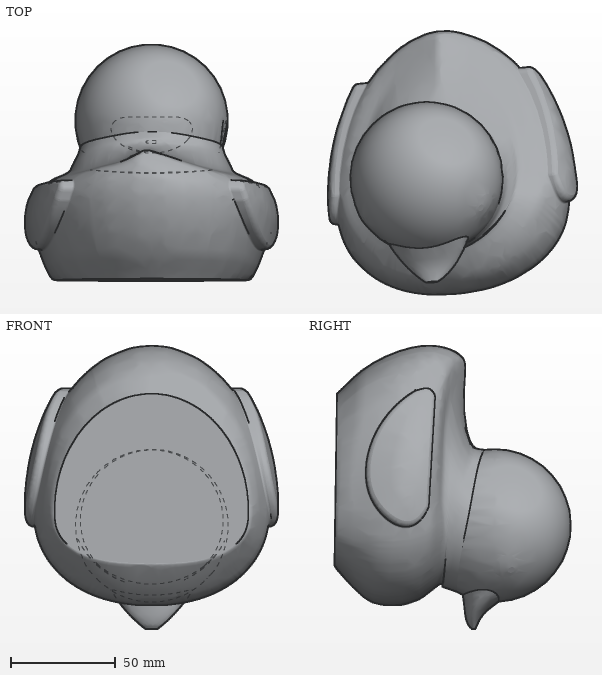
import cadquery as cq
import math


BODY_STATIONS = [
    (0.0, 31.4, 1.2, 112.4, 46.3, 56.5, 0.0, 0.76),
    (5.6, 23.5, 10.4, 121.2, 51.0, 58.0, 0.0, 0.85),
    (14.5, 14.9, 23.7, 129.8, 55.0, 58.0, 0.0, 0.91),
    (27.8, 11.2, 45.0, 135.4, 56.0, 58.0, 0.4, 0.92),
    (41.0, 14.5, 57.0, 132.8, 51.5, 58.0, 2.2, 0.99),
    (46.5, 18.6, 61.2, 129.4, 46.5, 58.0, 3.1, 1.04),
    (49.4, 20.9, 62.2, 126.0, 42.0, 58.0, 3.3, 1.04),
]
NECK_STATIONS = [
    (51.5, 20.4, 62.6, 99.0, 37.5, 57.0, 1.0, 1.0),
    (54.7, 19.1, 66.5, 87.2, 34.8, 55.0, 0.0, 1.0),
    (59.0, 17.6, 69.0, 86.0, 34.0, 52.0, 0.0, 1.0),
    (66.0, 20.0, 74.0, 80.0, 29.0, 50.0, 0.0, 1.0),
]
OUTLINE_POINTS = 24

HEAD_RADIUS = 36.5
HEAD_END_Y = 113.03
HEAD_CENTRE = cq.Vector(0, HEAD_END_Y - HEAD_RADIUS, 49.5)

BEAK_STATIONS = [
    (22.0, 21.0, 61.0, 86.5),
    (12.8, 15.6, 61.7, 78.0),
    (7.5, 11.1, 62.3, 71.6),
    (3.0, 6.5, 63.4, 68.6),
    (0.0, 2.8, 65.7, 67.3),
]

WING_SIDE_RISE = 3.95
WING_TOP_RISE = 8.0
WING_INNER_X = 30.0
WING_OUTER_X = 70.0
WING_BACK_TOP = (48.2, 112.0)
WING_BACK_BOTTOM = (45.1, 58.4)
WING_CURVE = [(32.9, 48.9), (18.5, 60.5), (15.0, 75.7), (23.5, 100.0), (38.5, 113.8)]
WING_TIP = (45.0, 115.6)
WING_CORNER_RADIUS = 4.0
WING_RIM_RADIUS = 3.2
WING_FOOT_RADIUS = 1.0

EYE_Y = 82.0
EYE_Z = 29.8
EYE_RADIUS = 6.2
EYE_BALL_RADIUS = 20.0
PUPIL_Y = 84.5
PUPIL_Z = 28.2
PUPIL_RADIUS = 1.7


def egg_outline(station, side_growth, top_growth):
    """Closed outline of two half ovals sharing their widest line, on a leaning surface."""
    bottom_y, bottom_z, top_y, top_z, half_width, wide_z, sag, lower_power = station
    lean = (top_y - bottom_y) / (top_z - bottom_z)
    points = []
    for i in range(OUTLINE_POINTS):
        angle = 2 * math.pi * i / OUTLINE_POINTS
        across = math.sin(angle)
        rise = math.cos(angle)
        upper = rise >= 0
        power = 1.0 if upper else lower_power
        reach = top_z + top_growth - wide_z if upper else wide_z - bottom_z
        x = (half_width + side_growth) * math.copysign(abs(across) ** power, across)
        z = wide_z + reach * math.copysign(abs(rise) ** power, rise)
        y = bottom_y + lean * (z - bottom_z) - sag * abs(across) * (1 + rise) ** 2
        points.append(cq.Vector(x, y, z))
    return cq.Wire.assembleEdges([cq.Edge.makeSpline(points, periodic=True)])


def make_body(side_growth=0.0, top_growth=0.0):
    """Body and neck as one smooth loft, optionally enlarged sideways and upwards."""
    stations = BODY_STATIONS + NECK_STATIONS
    outlines = [egg_outline(station, side_growth, top_growth) for station in stations]
    return cq.Workplane(cq.Solid.makeLoft(outlines))


def make_head():
    return cq.Workplane(cq.Solid.makeSphere(HEAD_RADIUS, HEAD_CENTRE, angleDegrees1=-90))


def make_beak():
    outlines = []
    for z, half_width, under_y, upper_y in BEAK_STATIONS:
        depth = (upper_y - under_y) / 2
        centre = cq.Vector(0, (under_y + upper_y) / 2, z)
        x_axis = cq.Vector(1, 0, 0)
        ellipse = cq.Edge.makeEllipse(half_width, depth, centre, cq.Vector(0, 0, 1), x_axis)
        outlines.append(cq.Wire.assembleEdges([ellipse]))
    return cq.Workplane(cq.Solid.makeLoft(outlines))


def make_wing():
    """Wing on the +X side: a D-shaped plate with its outer face parallel to the body."""
    plate = (
        cq.Workplane("YZ", origin=(WING_INNER_X, 0, 0))
        .moveTo(*WING_BACK_TOP)
        .lineTo(*WING_BACK_BOTTOM)
        .spline(WING_CURVE, includeCurrent=True)
        .lineTo(*WING_TIP)
        .close()
        .extrude(WING_OUTER_X - WING_INNER_X)
        .edges("|X")
        .fillet(WING_CORNER_RADIUS)
    )
    wing = plate.intersect(make_body(WING_SIDE_RISE, WING_TOP_RISE))
    rim = wing.faces(">X").edges()
    return rim.fillet(WING_RIM_RADIUS)


def make_eye():
    """Eye on the +X side: part of a ball with a small flat pupil."""
    out_y = EYE_Y - HEAD_CENTRE.y
    out_z = EYE_Z - HEAD_CENTRE.z
    out_x = math.sqrt(HEAD_RADIUS**2 - out_y**2 - out_z**2)
    outward = cq.Vector(out_x, out_y, out_z).normalized()
    rim_distance = math.sqrt(HEAD_RADIUS**2 - EYE_RADIUS**2)
    ball_distance = rim_distance - math.sqrt(EYE_BALL_RADIUS**2 - EYE_RADIUS**2)
    centre = HEAD_CENTRE + outward * ball_distance
    ball = cq.Workplane(cq.Solid.makeSphere(EYE_BALL_RADIUS, centre, angleDegrees1=-90))

    gaze_y = PUPIL_Y - centre.y
    gaze_z = PUPIL_Z - centre.z
    gaze_x = math.sqrt(EYE_BALL_RADIUS**2 - gaze_y**2 - gaze_z**2)
    gaze = cq.Vector(gaze_x, gaze_y, gaze_z).normalized()
    flat_distance = math.sqrt(EYE_BALL_RADIUS**2 - PUPIL_RADIUS**2)
    trim = cq.Solid.makeCylinder(EYE_BALL_RADIUS, EYE_BALL_RADIUS, centre + gaze * flat_distance, gaze)
    return ball.cut(cq.Workplane(trim))


def add_wing(body, wing):
    """Fuse a wing to the body and round the corner where they meet."""
    joined = body.union(wing)
    wing_side = math.copysign(1, wing.val().Center().x)
    flank = max(joined.faces().vals(), key=lambda face: face.Area())
    foot = [edge for edge in flank.Edges() if edge.Center().x * wing_side > WING_INNER_X]
    return joined.newObject(foot).fillet(WING_FOOT_RADIUS)


duck = make_body()
right_wing = make_wing()
for wing in (right_wing, right_wing.mirror("YZ")):
    duck = add_wing(duck, wing)
duck = duck.union(make_head())
duck = duck.union(make_beak())
right_eye = make_eye()
for eye in (right_eye, right_eye.mirror("YZ")):
    duck = duck.union(eye)

result = duck